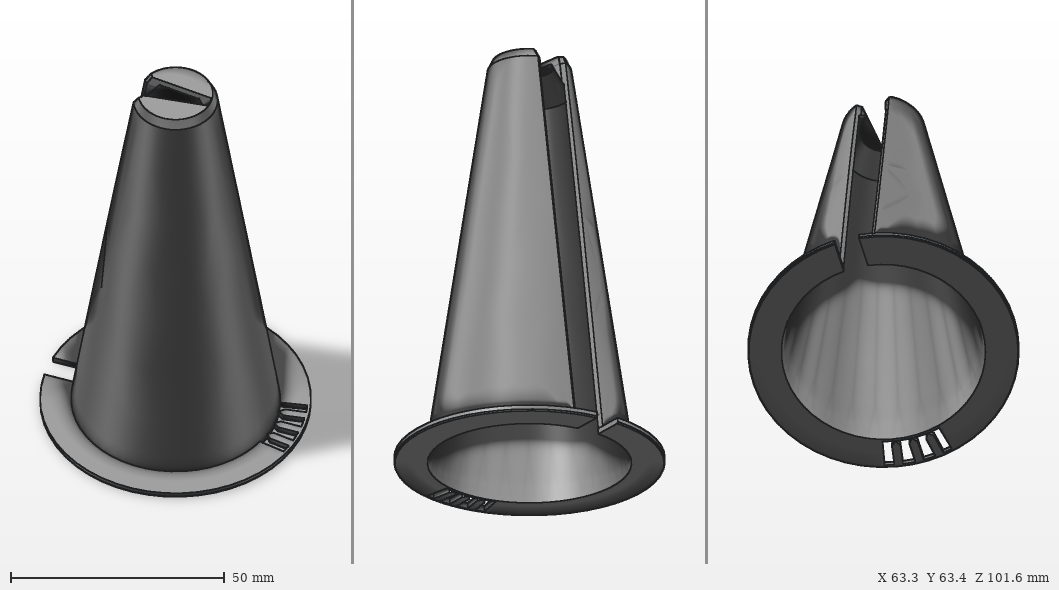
import cadquery as cq
import math

height = 101.6
flange_radius = 31.7
flange_thickness = 1.4
flange_edge_drop = 0.4
flange_edge_inset = 0.2

base_radius = 24.5
shoulder_radius = 9.9
tip_radius = 8.7
tip_bevel_height = 2.2
wall = 0.8
cap_thickness = 1.3
cap_hollow_radius = 5.6
cap_cone_height = 7.8

slit_half_inner = 2.9
slit_half_outer = 4.0
tip_flare = 0.5

slot_start_x = -10.7
slot_end_x = 7.9
slot_end_flare = 0.6
slot_half_start = 3.1
slot_half_end = 0.8

window_outer_radius = 30.9
window_inner_half = 6.9
window_side_angle = 11.3
rib_count = 3
rib_pitch = 9.2
rib_half_width = 1.0
rib_point_length = 1.3

shoulder_z = height - tip_bevel_height
cap_zone_z = height - cap_cone_height
wall_slope = (base_radius - shoulder_radius) / (shoulder_z - flange_thickness)


def cone_radius(z):
    """Outer radius of the main cone at height z."""
    return shoulder_radius + wall_slope * (shoulder_z - z)


def make_shell():
    """Flange, cone and cap revolved about Z as one hollow profile."""
    profile = [
        (cone_radius(0) - wall, 0),
        (flange_radius - flange_edge_inset, 0),
        (flange_radius, flange_edge_drop),
        (flange_radius, flange_thickness),
        (base_radius, flange_thickness),
        (shoulder_radius, shoulder_z),
        (tip_radius, height),
        (0, height),
        (0, height - cap_thickness),
        (cap_hollow_radius, height - cap_thickness),
        (cone_radius(cap_zone_z) - wall, cap_zone_z),
    ]
    return cq.Workplane("XZ").polyline(profile).close().revolve(360, (0, 0), (0, 1))


def slit_section(z, radius, flare):
    """Horizontal trapezoid spanning the wall, wider outside than inside."""
    bevel_slope = (slit_half_outer - slit_half_inner) / wall
    reach = 2 * wall
    outer_half = slit_half_inner + flare + bevel_slope * (wall + reach)
    inner_half = slit_half_inner + flare
    face_x = -math.sqrt(radius ** 2 - slit_half_outer ** 2)
    points = [
        (face_x - reach, -outer_half),
        (face_x + wall, -inner_half),
        (face_x + wall, inner_half),
        (face_x - reach, outer_half),
    ]
    return cq.Wire.makePolygon([cq.Vector(x, y, z) for x, y in points], close=True)


def make_slit():
    """Bevelled slit up the wall plus the plain gap through the flange."""
    low = slit_section(flange_thickness, base_radius, 0)
    shoulder = slit_section(shoulder_z, shoulder_radius, 0)
    tip = slit_section(height, tip_radius, tip_flare)
    wall_cut = cq.Workplane(cq.Solid.makeLoft([low, shoulder], True))
    tip_cut = cq.Workplane(cq.Solid.makeLoft([shoulder, tip], True))
    gap = cq.Workplane("XY").box(
        2 * flange_radius, 2 * slit_half_inner, cap_zone_z, centered=(True, True, False)
    ).translate((-flange_radius, 0, 0))
    return gap.union(wall_cut).union(tip_cut)


def slot_section(z, flare, end_x):
    """Outline of the cap slot at height z, narrowing towards +X."""
    points = [
        (slot_start_x, -slot_half_start - flare),
        (end_x, -slot_half_end - flare),
        (end_x, slot_half_end + flare),
        (slot_start_x, slot_half_start + flare),
    ]
    return cq.Wire.makePolygon([cq.Vector(x, y, z) for x, y in points], close=True)


def make_cap_slot():
    """Wedge-shaped slot with upright sides below and flared sides in the tip bevel."""
    bottom = slot_section(cap_zone_z, 0, slot_end_x)
    shoulder = slot_section(shoulder_z, 0, slot_end_x)
    tip = slot_section(height, tip_flare, slot_end_x + slot_end_flare)
    upright = cq.Workplane(cq.Solid.makeLoft([bottom, shoulder], True))
    flared = cq.Workplane(cq.Solid.makeLoft([shoulder, tip], True))
    return upright.union(flared)


def make_windows():
    """Group of flange windows separated by radial ribs with pointed roots."""
    ring = (
        cq.Workplane("XY").circle(window_outer_radius).circle(base_radius)
        .extrude(flange_thickness)
    )
    start_x = math.sqrt(base_radius ** 2 - window_inner_half ** 2)
    end_half = window_inner_half + (flange_radius - start_x) * math.tan(math.radians(window_side_angle))
    span = [
        (start_x, -window_inner_half),
        (flange_radius, -end_half),
        (flange_radius, end_half),
        (start_x, window_inner_half),
    ]
    windows = cq.Workplane("XY").polyline(span).close().extrude(flange_thickness).intersect(ring)
    rib = (
        cq.Workplane("XY")
        .polyline([
            (base_radius, 0),
            (base_radius + rib_point_length, -rib_half_width),
            (flange_radius, -rib_half_width),
            (flange_radius, rib_half_width),
            (base_radius + rib_point_length, rib_half_width),
        ])
        .close().extrude(flange_thickness)
    )
    for index in range(rib_count):
        angle = rib_pitch * (index - (rib_count - 1) / 2)
        windows = windows.cut(rib.rotate((0, 0, 0), (0, 0, 1), angle))
    return windows


result = make_shell().cut(make_slit()).cut(make_cap_slot()).cut(make_windows())